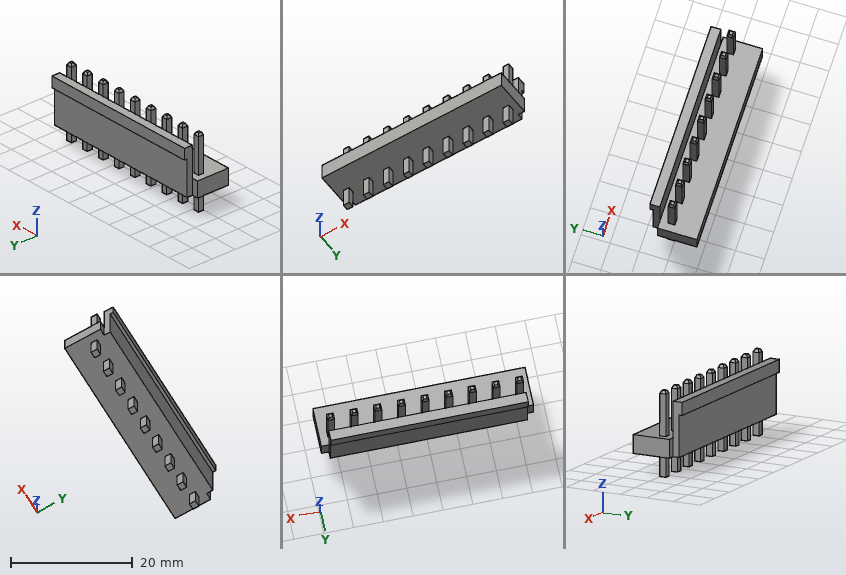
import cadquery as cq

length = 35.58
depth = 8.5
height = 14.6

base_depth = 6.8
base_height = 3.2

wall_length = 33.1
wall_thickness = 1.15
wall_rise = 6.2
hook_height = 2.2

pin_count = 9
pin_row_length = 31.7
pin_width = 1.15
pin_tail = 3.7
pin_to_wall = 2.0
tip_height = 0.5
tip_width = 0.57

wall_face_y = base_depth
wall_back_y = wall_face_y + wall_thickness
wall_top_z = base_height + wall_rise
hook_bottom_z = wall_top_z - hook_height
pin_pitch = pin_row_length / (pin_count - 1)
pin_y = wall_face_y - pin_to_wall
tip_bottom_z = height - pin_tail - tip_height


def make_base():
    return cq.Workplane("XY").box(length, base_depth, base_height, centered=(True, False, False))


def make_wall():
    """Wall with its hook, as one profile in the YZ plane extruded along X."""
    profile = [
        (wall_face_y, 0),
        (wall_back_y, 0),
        (wall_back_y, hook_bottom_z),
        (depth, hook_bottom_z),
        (depth, wall_top_z),
        (wall_face_y, wall_top_z),
    ]
    return cq.Workplane("YZ").polyline(profile).close().extrude(wall_length / 2, both=True)


def make_pin(x):
    """Square pin through the base, ending in a truncated pyramid."""
    shank = (
        cq.Workplane("XY", origin=(x, pin_y, -pin_tail))
        .rect(pin_width, pin_width)
        .extrude(tip_bottom_z + pin_tail)
    )
    tip = (
        cq.Workplane("XY", origin=(x, pin_y, tip_bottom_z))
        .rect(pin_width, pin_width)
        .workplane(offset=tip_height)
        .rect(tip_width, tip_width)
        .loft(ruled=True)
    )
    return shank.union(tip)


result = make_base().union(make_wall())
for index in range(pin_count):
    pin_x = index * pin_pitch - pin_row_length / 2
    result = result.union(make_pin(pin_x))